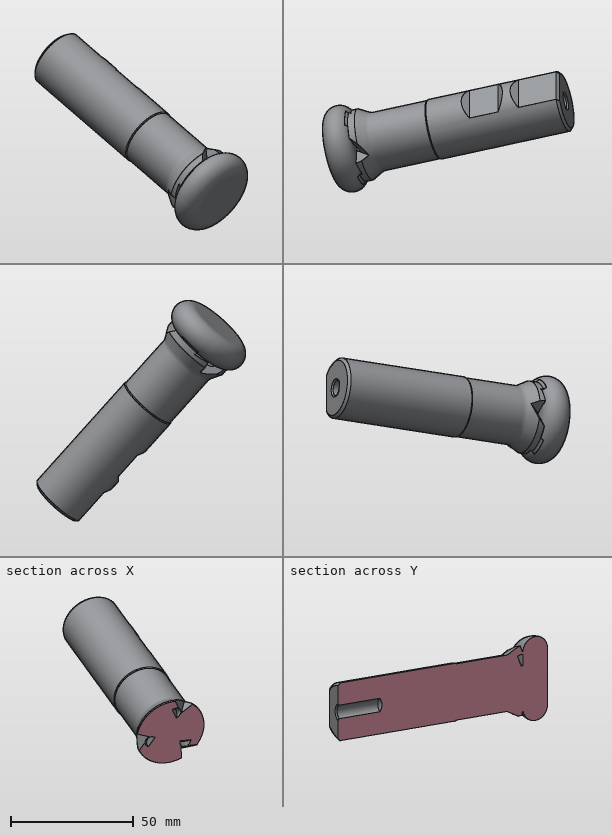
import cadquery as cq
import math

TOTAL_LENGTH = 100.0
SHANK_RADIUS = 12.5
SHANK_LENGTH = 56.4
SHANK_RELIEF_LENGTH = 0.5
NECK_RADIUS = 12.2
HEAD_RADIUS = 14.9
HEAD_START = 85.7
NECK_CONE_ANGLE = 28.0
NECK_CONE_LENGTH = (HEAD_RADIUS - NECK_RADIUS) / math.tan(math.radians(NECK_CONE_ANGLE))
NECK_CONE_START = HEAD_START - NECK_CONE_LENGTH
NECK_FILLET = 2.2
END_CHAMFER_LENGTH = 1.1
END_CHAMFER_DEPTH = 1.15

RIM_RADIUS = 18.0
RIM_TUBE_RADIUS = 6.0
RIM_CENTRE_RADIUS = RIM_RADIUS - RIM_TUBE_RADIUS
RIM_START = TOTAL_LENGTH - 2 * RIM_TUBE_RADIUS

COLLAR_START = 88.6
COLLAR_END = 89.5
COLLAR_RADIUS = 16.1
COLLAR_FIRST_ANGLE = 111.0
COLLAR_SWEEP = 33.0

FLAT_OFFSET = 9.8
FLAT_DEPTH = SHANK_RADIUS - FLAT_OFFSET
END_FLAT_LENGTH = 17.2
NOTCH_START = 25.9
NOTCH_END = 38.1
FLAT_CHAMFER_DEPTH = 1.5

HOLE_RADIUS = 3.2
HOLE_MOUTH_RADIUS = 3.8
HOLE_DEPTH = 20.0
DRILL_TIP_ANGLE = 118.0
DRILL_TIP_LENGTH = HOLE_RADIUS / math.tan(math.radians(DRILL_TIP_ANGLE / 2))

POCKET_COUNT = 3
POCKET_APEX = cq.Vector(82.4, -13.15, 1.3)
POCKET_VALLEY = cq.Vector(5.4, 4.8, -1.72)
POCKET_WALL_EDGE = cq.Vector(5.7, -1.55, 1.7)
POCKET_FLOOR_EDGE = cq.Vector(6.0, 0.1, -8.7)
POCKET_LENGTH = 11.0
POCKET_REACH = 14.0
POCKET_OVERRUN = 2.0
SCREW_CLEARANCE_RADIUS = 2.4
SCREW_CLEARANCE_DEPTH = 2.0
SCREW_CLEARANCE_X = 88.0
SCREW_CLEARANCE_Z = -2.0

RELIEF_START_LOW = 88.3
RELIEF_START_HIGH = 87.5
RELIEF_LOW_Z = 2.6
RELIEF_HIGH_Z = 8.8
RELIEF_FLOOR_Y = -9.0

AXIS_START = (0, 0, 0)
AXIS_END = (1, 0, 0)


def revolve_about_x(profile, sweep=360):
    return profile.close().revolve(sweep, AXIS_START, AXIS_END)


def turned_body():
    body = revolve_about_x(
        cq.Workplane("XY")
        .moveTo(0, 0)
        .lineTo(0, SHANK_RADIUS - END_CHAMFER_DEPTH)
        .lineTo(END_CHAMFER_LENGTH, SHANK_RADIUS)
        .lineTo(SHANK_LENGTH - SHANK_RELIEF_LENGTH, SHANK_RADIUS)
        .lineTo(SHANK_LENGTH, NECK_RADIUS)
        .lineTo(NECK_CONE_START, NECK_RADIUS)
        .lineTo(HEAD_START, HEAD_RADIUS)
        .lineTo(COLLAR_START, HEAD_RADIUS)
        .lineTo(COLLAR_START, 0)
    )
    neck_corner = cq.selectors.BoxSelector(
        (NECK_CONE_START - NECK_FILLET, -HEAD_RADIUS, -HEAD_RADIUS),
        (NECK_CONE_START + NECK_FILLET, HEAD_RADIUS, HEAD_RADIUS),
    )
    return body.edges("%CIRCLE").edges(neck_corner).fillet(NECK_FILLET)


def rim():
    return revolve_about_x(
        cq.Workplane("XY")
        .moveTo(RIM_START, 0)
        .lineTo(RIM_START, RIM_CENTRE_RADIUS)
        .threePointArc(
            (RIM_START + RIM_TUBE_RADIUS, RIM_RADIUS),
            (TOTAL_LENGTH, RIM_CENTRE_RADIUS),
        )
        .lineTo(TOTAL_LENGTH, 0)
    )


def spaced_about_axis(feature):
    """Copies of a feature, one per insert, evenly spaced about X."""
    pitch = 360 / POCKET_COUNT
    return [feature.rotate(AXIS_START, AXIS_END, i * pitch) for i in range(POCKET_COUNT)]


def collar_segment():
    segment = revolve_about_x(
        cq.Workplane("XY")
        .moveTo(COLLAR_START, 0)
        .lineTo(COLLAR_START, HEAD_RADIUS)
        .lineTo(COLLAR_END, COLLAR_RADIUS)
        .lineTo(COLLAR_END, 0),
        COLLAR_SWEEP,
    )
    return segment.rotate(AXIS_START, AXIS_END, COLLAR_FIRST_ANGLE)


def insert_pocket():
    """V-shaped gash: a wall and a floor that meet along a valley sloping inwards."""
    valley = POCKET_VALLEY.normalized()
    wall_side = POCKET_WALL_EDGE - valley * POCKET_WALL_EDGE.dot(valley)
    floor_side = POCKET_FLOOR_EDGE - valley * POCKET_FLOOR_EDGE.dot(valley)
    floor_corner = floor_side.normalized() * POCKET_REACH
    plane = cq.Plane(origin=POCKET_APEX - valley * POCKET_OVERRUN, xDir=wall_side, normal=valley)
    return (
        cq.Workplane(plane)
        .moveTo(0, 0)
        .lineTo(POCKET_REACH, 0)
        .lineTo(floor_corner.dot(plane.xDir), floor_corner.dot(plane.yDir))
        .close()
        .extrude(POCKET_LENGTH + POCKET_OVERRUN)
    )


def screw_clearance():
    """Shallow round recess sunk square into the pocket floor."""
    normal = POCKET_FLOOR_EDGE.cross(POCKET_VALLEY).normalized()
    dx = SCREW_CLEARANCE_X - POCKET_APEX.x
    dz = SCREW_CLEARANCE_Z - POCKET_APEX.z
    dy = -(normal.x * dx + normal.z * dz) / normal.y
    centre = POCKET_APEX + cq.Vector(dx, dy, dz)
    floor = cq.Plane(origin=centre, normal=normal)
    return cq.Workplane(floor).circle(SCREW_CLEARANCE_RADIUS).extrude(-SCREW_CLEARANCE_DEPTH)


def insert_relief():
    return (
        cq.Workplane("XZ", origin=(0, RELIEF_FLOOR_Y, 0))
        .moveTo(RELIEF_START_LOW, RELIEF_LOW_Z)
        .lineTo(RELIEF_START_HIGH, RELIEF_HIGH_Z)
        .lineTo(TOTAL_LENGTH, RELIEF_HIGH_Z)
        .lineTo(TOTAL_LENGTH, RELIEF_LOW_Z)
        .close()
        .extrude(HEAD_RADIUS)
    )


def shank_flats():
    """Flat at the shank end and a clamping notch, both with 45 degree run-outs."""
    end_flat = (
        cq.Workplane("XY")
        .moveTo(0, FLAT_OFFSET - FLAT_CHAMFER_DEPTH)
        .lineTo(END_CHAMFER_LENGTH, FLAT_OFFSET)
        .lineTo(END_FLAT_LENGTH, FLAT_OFFSET)
        .lineTo(END_FLAT_LENGTH + FLAT_DEPTH, SHANK_RADIUS)
        .lineTo(0, SHANK_RADIUS)
        .close()
    )
    notch = (
        cq.Workplane("XY")
        .moveTo(NOTCH_START - FLAT_DEPTH, SHANK_RADIUS)
        .lineTo(NOTCH_START, FLAT_OFFSET)
        .lineTo(NOTCH_END, FLAT_OFFSET)
        .lineTo(NOTCH_END + FLAT_DEPTH, SHANK_RADIUS)
        .close()
    )
    return [outline.extrude(SHANK_RADIUS, both=True) for outline in (end_flat, notch)]


def axial_hole():
    return revolve_about_x(
        cq.Workplane("XY")
        .moveTo(0, 0)
        .lineTo(0, HOLE_MOUTH_RADIUS)
        .lineTo(HOLE_MOUTH_RADIUS - HOLE_RADIUS, HOLE_RADIUS)
        .lineTo(HOLE_DEPTH, HOLE_RADIUS)
        .lineTo(HOLE_DEPTH + DRILL_TIP_LENGTH, 0)
    )


result = turned_body()
for segment in spaced_about_axis(collar_segment()):
    result = result.union(segment)
for make_cut in (insert_pocket, screw_clearance, insert_relief):
    for cut in spaced_about_axis(make_cut()):
        result = result.cut(cut)
result = result.union(rim())
for flat in shank_flats():
    result = result.cut(flat)
result = result.cut(axial_hole())